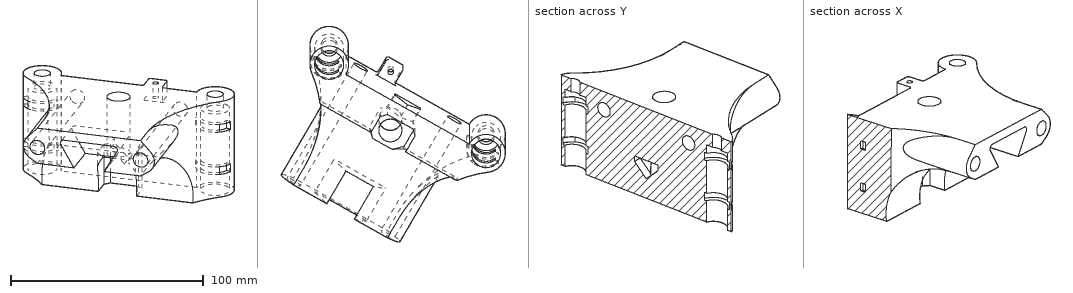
import cadquery as cq
import math

height = 54.0
eye_x = 47.0
eye_radius = 10.0
eye_bore = 8.4
front_y = -70.0
plate_thickness = 20.0
plate_bottom = height - plate_thickness
flank_radius = 63.5

arm_x = 28.0
arm_z = 43.1
arm_radius = 7.5
arm_bore = 8.0

block_front_y = -19.8
cove_radius = 30.0

dovetail_roof_z = 49.0
dovetail_mouth_half = 8.2
dovetail_flank_angle = 60
dovetail_depth = 20.0
dovetail_corner_radius = 1.88

bolt_y = -18.0
bolt_bore = 12.0
pocket_roof_z = 22.6
pocket_half_width = 10.4
pocket_front_chamfer = 6.7
tunnel_half_width = 7.6
tunnel_wall_height = 3.1

seat_diameter = 15.0
seat_lip = 8.0
groove_outer_radius = 10.1
groove_height = 4.3
groove_offset = 12.0
groove_end_angle = 20.5

lug_x = 13.0
lug_width = 10.0
lug_length = 10.0
lug_height = 8.3
lug_bore = 2.8
lug_fillet_radius = 1.0


def both_sides(solid):
    """Return the solid joined with its mirror image across X = 0."""
    return solid.union(solid.mirror("YZ"))


def make_body():
    """Extrude the plan: two eyes joined by flanks that sweep in to the front."""
    arc_x = arm_x + flank_radius
    reach = eye_radius + flank_radius
    arc_y = -math.sqrt(reach**2 - (arc_x - eye_x) ** 2)
    eye_angle = math.atan2(arc_y, arc_x - eye_x)
    touch_x = eye_x + eye_radius * math.cos(eye_angle)
    touch_y = eye_radius * math.sin(eye_angle)
    mid_angle = (math.atan2(-arc_y, eye_x - arc_x) + math.pi) / 2
    mid_x = arc_x + flank_radius * math.cos(mid_angle)
    mid_y = arc_y + flank_radius * math.sin(mid_angle)
    half = (
        cq.Workplane("XY")
        .moveTo(0, 0)
        .lineTo(eye_x, 0)
        .lineTo(touch_x, touch_y)
        .threePointArc((mid_x, mid_y), (arm_x, arc_y))
        .lineTo(arm_x, front_y)
        .lineTo(0, front_y)
        .close()
        .extrude(height)
    )
    eye = cq.Workplane("XY").center(eye_x, 0).circle(eye_radius).extrude(height)
    return both_sides(half.union(eye))


def cut_cove(body):
    """Remove the space in front of the rear block and below the plate."""
    axis_y = block_front_y - cove_radius
    axis_z = plate_bottom - cove_radius
    foot_y = axis_y + math.sqrt(cove_radius**2 - axis_z**2)
    space = (
        cq.Workplane("YZ")
        .moveTo(foot_y, 0)
        .threePointArc((block_front_y, axis_z), (axis_y, plate_bottom))
        .lineTo(front_y, plate_bottom)
        .lineTo(front_y, 0)
        .close()
        .extrude(eye_x + eye_radius, both=True)
    )
    return body.cut(space)


def tangent_point(apex_z):
    """Point where a line from the plate edge at apex_z touches the arm's round."""
    distance = apex_z - arm_z
    rise = arm_radius**2 / distance
    return arm_x + math.sqrt(arm_radius**2 - rise**2), arm_z + rise


def add_arms(body):
    """Add the rounded arms, which run from the front face into the flanks."""
    arm = (
        cq.Workplane("XZ", origin=(0, block_front_y, 0))
        .moveTo(arm_x, height)
        .lineTo(*tangent_point(height))
        .threePointArc((arm_x + arm_radius, arm_z), tangent_point(plate_bottom))
        .lineTo(arm_x, plate_bottom)
        .close()
        .extrude(block_front_y - front_y)
    )
    bore = (
        cq.Workplane("XZ")
        .center(arm_x, arm_z)
        .circle(arm_bore / 2)
        .extrude(-front_y)
    )
    return body.union(both_sides(arm)).cut(both_sides(bore))


def cut_dovetail(body):
    """Cut the dovetail recess that opens at the front and below."""
    flare = (dovetail_roof_z - plate_bottom) / math.tan(math.radians(dovetail_flank_angle))
    roof_half = dovetail_mouth_half + flare
    recess = (
        cq.Workplane("XZ", origin=(0, front_y + dovetail_depth, 0))
        .moveTo(-dovetail_mouth_half, plate_bottom)
        .lineTo(-roof_half, dovetail_roof_z)
        .lineTo(roof_half, dovetail_roof_z)
        .lineTo(dovetail_mouth_half, plate_bottom)
        .close()
        .extrude(dovetail_depth)
        .edges("|Y and >Z")
        .fillet(dovetail_corner_radius)
    )
    return body.cut(recess)


def cut_bolt_pocket(body):
    """Cut the bolt hole, the eight-sided pocket below it and the gabled tunnel."""
    bolt = cq.Workplane("XY").center(0, bolt_y).circle(bolt_bore / 2).extrude(height)
    back_chamfer = pocket_half_width - tunnel_half_width
    pocket = (
        cq.Workplane("XY", origin=(0, bolt_y, 0))
        .rect(2 * pocket_half_width, 2 * pocket_half_width)
        .extrude(pocket_roof_z)
        .edges("|Z and <Y")
        .chamfer(pocket_front_chamfer)
        .edges("|Z and >Y")
        .chamfer(back_chamfer)
    )
    eaves_z = pocket_roof_z - tunnel_wall_height
    tunnel = (
        cq.Workplane("XZ")
        .moveTo(-tunnel_half_width, pocket_roof_z)
        .lineTo(-tunnel_half_width, eaves_z)
        .lineTo(0, eaves_z - tunnel_half_width)
        .lineTo(tunnel_half_width, eaves_z)
        .lineTo(tunnel_half_width, pocket_roof_z)
        .close()
        .extrude(-bolt_y)
    )
    return body.cut(bolt).cut(pocket).cut(tunnel)


def make_groove():
    """Make a strap groove: a sector on the front side of the right eye's axis."""
    end_x = groove_outer_radius * math.cos(math.radians(groove_end_angle))
    end_y = -groove_outer_radius * math.sin(math.radians(groove_end_angle))
    return (
        cq.Workplane("XY", origin=(eye_x, 0, -groove_height / 2))
        .lineTo(-end_x, end_y)
        .threePointArc((0, -groove_outer_radius), (end_x, end_y))
        .close()
        .extrude(groove_height)
    )


def cut_eyes(body):
    """Bore the eyes, leaving a lip at the top, and cut the strap grooves."""
    eye = cq.Workplane("XY").center(eye_x, 0)
    bore = eye.circle(eye_bore / 2).extrude(height)
    seat = eye.circle(seat_diameter / 2).extrude(height - seat_lip)
    hollow = bore.union(seat)
    for offset in (-groove_offset, groove_offset):
        hollow = hollow.union(make_groove().translate((0, 0, height / 2 + offset)))
    return body.cut(both_sides(hollow))


def add_lug(body):
    """Add the drilled lug at the top of the back face, with fillets at its tip and root."""
    bottom_z = height - lug_height
    lug = (
        cq.Workplane("XY", origin=(lug_x, lug_length / 2, bottom_z))
        .rect(lug_width, lug_length)
        .extrude(lug_height)
        .edges("(|Z and >Y) or (>Y and <Z)")
        .fillet(lug_fillet_radius)
        .faces(">Z")
        .workplane(origin=(lug_x, lug_length / 2, height))
        .hole(lug_bore)
    )
    body = body.union(lug)
    root = cq.selectors.BoxSelector(
        (lug_x - lug_width, -lug_fillet_radius, bottom_z),
        (lug_x + lug_width, lug_fillet_radius, height),
    )
    return body.edges("|Z").edges(root).fillet(lug_fillet_radius)


body = make_body()
body = cut_cove(body)
body = add_arms(body)
body = cut_dovetail(body)
body = cut_bolt_pocket(body)
body = cut_eyes(body)
result = add_lug(body)